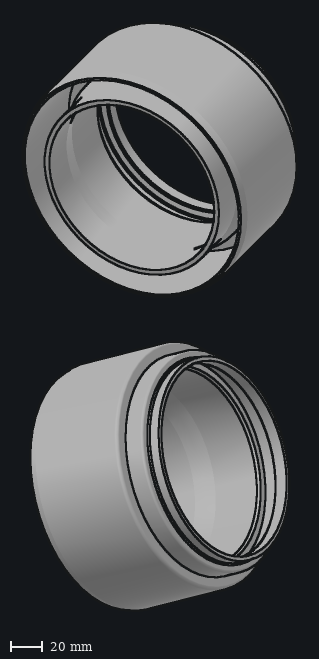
import cadquery as cq
import math

body_diameter = 160.0
length = 93.5
front = -length / 2
back = length / 2

taper_angle = 15.0

rim_diameter = 156.6
front_bevel_length = 5.8
body_length = 71.7
body_edge_radius = 2.2
shoulder_diameter = 143.5
shoulder_length = 13.6
shoulder_edge_radius = 1.6
lip_diameter = 131.5
lip_root_chamfer = 1.1

body_back = front + body_length
shoulder_back = body_back + shoulder_length

groove_diameter = 153.5
groove_depth = 57.6
sleeve_tip_diameter = 125.0
sleeve_base_diameter = 131.5
sleeve_tip_length = 23.4

mouth_diameter = 118.0
mouth_length = 22.9
bore_diameter = 125.5
bore_end = 69.6
bore_exit_diameter = 128.0
bore_exit_length = 2.0

undercut_diameter = 137.6
undercut_end = 81.8
undercut_chamfer = 0.8
end_face_angle = 15.0
lip_bore_diameter = 125.8
lip_bore_chamfer = 1.0

edge_margin = 0.2


def outside_points():
    """Sharp-cornered outer outline as (radius, Y), front to back."""
    lip_radius = lip_diameter / 2
    return [
        (rim_diameter / 2, front),
        (body_diameter / 2, front + front_bevel_length),
        (body_diameter / 2, body_back),
        (shoulder_diameter / 2, body_back),
        (shoulder_diameter / 2, shoulder_back),
        (lip_radius + lip_root_chamfer, shoulder_back),
        (lip_radius, shoulder_back + lip_root_chamfer),
        (lip_radius, back),
    ]


def bore_points():
    """Bore outline as (radius, Y), back to front."""
    mouth_radius = mouth_diameter / 2
    bore_radius = bore_diameter / 2
    undercut_radius = undercut_diameter / 2
    lip_bore_radius = lip_bore_diameter / 2

    taper_start = front + mouth_length
    taper_length = (bore_radius - mouth_radius) / math.tan(math.radians(taper_angle))
    exit_start = front + bore_end
    exit_end = exit_start + bore_exit_length

    face_outer_radius = undercut_radius - undercut_chamfer
    face_inner_radius = lip_bore_radius + lip_bore_chamfer
    face_outer = front + undercut_end + undercut_chamfer
    face_rise = (face_outer_radius - face_inner_radius) * math.tan(math.radians(end_face_angle))
    face_inner = face_outer + face_rise
    return [
        (lip_bore_radius, back),
        (lip_bore_radius, face_inner + lip_bore_chamfer),
        (face_inner_radius, face_inner),
        (face_outer_radius, face_outer),
        (undercut_radius, front + undercut_end),
        (undercut_radius, exit_end),
        (bore_exit_diameter / 2, exit_end),
        (bore_radius, exit_start),
        (bore_radius, taper_start + taper_length),
        (mouth_radius, taper_start),
        (mouth_radius, front),
    ]


def groove_points():
    """Front groove outline as (radius, Y), from the sleeve tip to the rim."""
    floor = front + groove_depth
    flare_start = front + sleeve_tip_length
    flare_height = (sleeve_base_diameter - sleeve_tip_diameter) / 2
    flare_length = flare_height / math.tan(math.radians(taper_angle))
    return [
        (sleeve_tip_diameter / 2, front),
        (sleeve_tip_diameter / 2, flare_start),
        (sleeve_base_diameter / 2, flare_start + flare_length),
        (sleeve_base_diameter / 2, floor),
        (groove_diameter / 2, floor),
        (groove_diameter / 2, front),
    ]


def round_back_edge(solid, diameter, y, radius):
    """Fillet the circular edge of the given diameter in the step face that lies at y."""
    half_box = diameter / 2 + edge_margin
    lower = (-half_box, y - edge_margin, -half_box)
    upper = (half_box, y + edge_margin, half_box)
    step_edges = solid.edges(cq.selectors.BoxSelector(lower, upper, boundingbox=True))
    return step_edges.edges(cq.selectors.RadiusNthSelector(-1)).fillet(radius)


profile = outside_points() + bore_points() + groove_points()
ring = cq.Workplane("XY").polyline(profile).close().revolve(360, (0, 0, 0), (0, 1, 0))

ring = round_back_edge(ring, body_diameter, body_back, body_edge_radius)
result = round_back_edge(ring, shoulder_diameter, shoulder_back, shoulder_edge_radius)